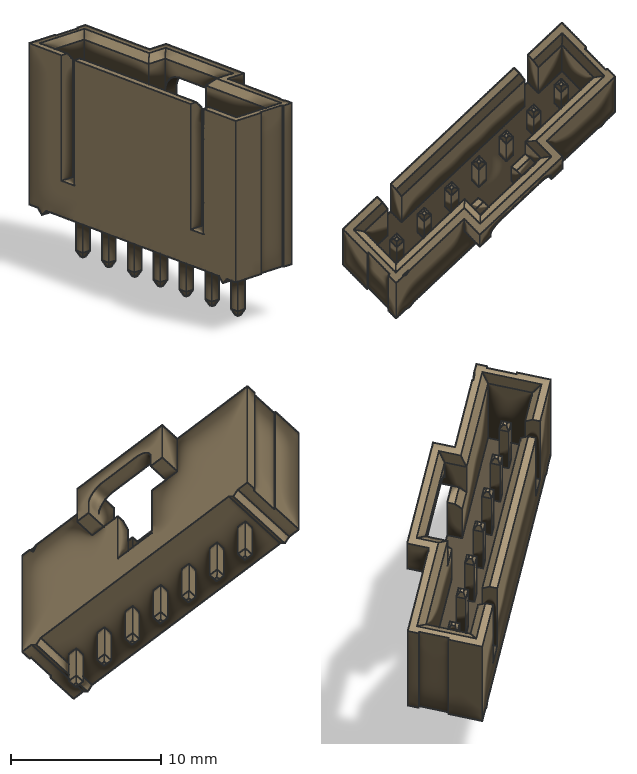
import cadquery as cq
import math

length = 20.25
depth = 5.1
height = 11.45
end_wall = 1.0
side_wall = 1.03
lead_in_width = 0.5
lead_in_height = 0.5
floor_z = height - 8.9

pin_count = 7
pitch = 2.53
pin_size = 0.67
pin_tip_size = 0.25
pin_tip_height = 0.45
pin_length_below = 3.66
pin_top_z = height - 2.83

box_length = 7.65
box_projection = 1.5
box_height = 3.87
box_inner_length = box_length - 2 * side_wall
window_drop = 1.5
window_radius = 1.32

front_slot_width = 1.25
front_slot_x = 2.5 * pitch
back_slot_width = 3.05

end_recess_depth = 0.12
end_recess_front = 2.33
end_recess_back = 4.35
rib_x = 3.5 * pitch
rib_height = 0.4
mark_x = 9.17
mark_width = 0.53
mark_depth = 0.06

box_base_z = height - box_height
box_back = depth + box_projection
cavity_length = length - 2 * end_wall
cavity_back = depth - side_wall


def block(x_size, y_front, y_back, z_low, z_high, x_center=0.0):
    """Box centred on x_center and given by its limits along Y and Z."""
    return (
        cq.Workplane("XY", origin=(x_center, (y_front + y_back) / 2, z_low))
        .rect(x_size, y_back - y_front)
        .extrude(z_high - z_low)
    )


def frustum(x_center, y_center, z_low, z_high, low_size, high_size):
    """Four-sided frustum between two (x, y) rectangles."""
    return (
        cq.Workplane("XY", origin=(x_center, y_center, z_low))
        .rect(*low_size)
        .workplane(offset=z_high - z_low)
        .rect(*high_size)
        .loft(ruled=True)
    )


def pocket(x_size, y_front, y_back, z_low, z_rim):
    """Straight pocket whose mouth at z_rim widens along the sloped lead-in."""
    y_size = y_back - y_front
    mouth = frustum(
        0.0, (y_front + y_back) / 2, z_rim - lead_in_height, z_rim,
        (x_size, y_size),
        (x_size + 2 * lead_in_width, y_size + 2 * lead_in_width),
    )
    return block(x_size, y_front, y_back, z_low, z_rim).union(mouth)


def outer_shell():
    body = block(length, 0.0, depth, 0.0, height)
    latch_box = block(box_length, cavity_back, box_back, box_base_z, height)
    return body.union(latch_box)


def mating_cavity():
    """Main cavity, the space inside the latch box, and the slope on the wall below the box."""
    main = pocket(cavity_length, side_wall, cavity_back, floor_z, height)
    latch = pocket(box_inner_length, side_wall, box_back - side_wall, box_base_z, height)
    ledge_profile = [
        (cavity_back, box_base_z),
        (cavity_back + lead_in_width, box_base_z),
        (cavity_back, box_base_z - lead_in_height),
    ]
    ledge_slope = (
        cq.Workplane("YZ").polyline(ledge_profile).close().extrude(box_inner_length / 2, both=True)
    )
    return main.union(latch).union(ledge_slope)


def latch_window():
    """Opening below the top bar of the latch box, rounded at its upper corners."""
    window = block(box_inner_length, box_back - side_wall, box_back, box_base_z, height - window_drop)
    return window.faces(">Z").edges("|Y").fillet(window_radius)


def wall_slots():
    slots = block(back_slot_width, cavity_back, depth, floor_z, height)
    for side in (-1, 1):
        slots = slots.union(
            block(front_slot_width, 0.0, side_wall, floor_z, height, side * front_slot_x)
        )
    return slots


def end_recesses():
    recesses = cq.Workplane("XY")
    for side in (-1, 1):
        recesses = recesses.union(
            block(
                2 * end_recess_depth, end_recess_front, end_recess_back, 0.0, height,
                side * length / 2,
            )
        )
    return recesses


def pin_one_mark():
    """Engraved triangle at the top of the back wall."""
    mark_height = mark_width * math.sqrt(3) / 2
    return (
        cq.Workplane("XZ", origin=(mark_x, depth, height))
        .polyline([(-mark_width / 2, 0.0), (mark_width / 2, 0.0), (0.0, -mark_height)])
        .close()
        .extrude(mark_depth)
    )


def underside_rib(x):
    """V-shaped rib with 45 degree flanks across the underside."""
    return (
        cq.Workplane("XZ", origin=(x, 0.0, 0.0))
        .polyline([(-rib_height, 0.0), (0.0, -rib_height), (rib_height, 0.0)])
        .close()
        .extrude(-depth)
    )


def pin(x):
    """Square contact through the floor, tapered at both ends."""
    y = depth / 2
    shaft_low = pin_tip_height - pin_length_below
    shaft_high = pin_top_z - pin_tip_height
    full = (pin_size, pin_size)
    tip = (pin_tip_size, pin_tip_size)
    shaft = block(pin_size, y - pin_size / 2, y + pin_size / 2, shaft_low, shaft_high, x)
    lower_tip = frustum(x, y, -pin_length_below, shaft_low, tip, full)
    upper_tip = frustum(x, y, shaft_high, pin_top_z, full, tip)
    return shaft.union(lower_tip).union(upper_tip)


result = (
    outer_shell()
    .cut(mating_cavity())
    .cut(latch_window())
    .cut(wall_slots())
    .cut(end_recesses())
    .cut(pin_one_mark())
)

for rib_side in (-1, 1):
    result = result.union(underside_rib(rib_side * rib_x))

for pin_index in range(pin_count):
    pin_x = (pin_index - (pin_count - 1) / 2) * pitch
    result = result.union(pin(pin_x))